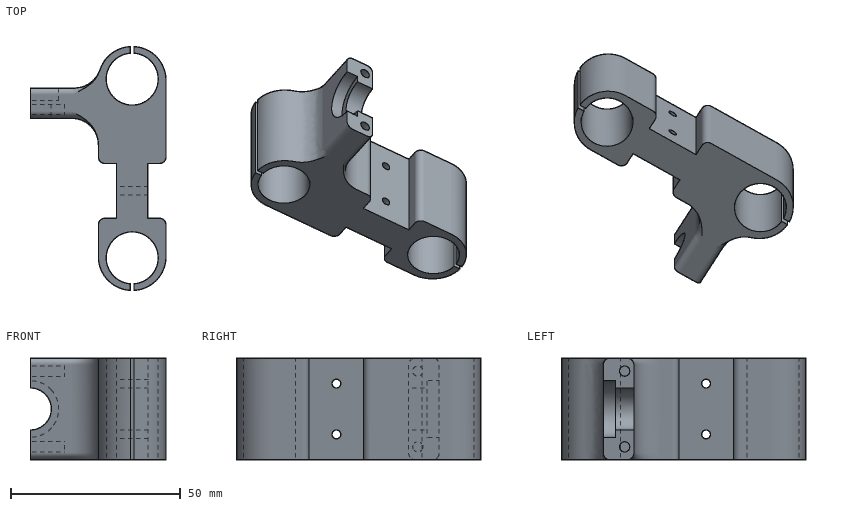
import cadquery as cq

length = 71.9
height = 30.0
lug_width = 20.0
arm_tip_x = -30.0

lug_radius = lug_width / 2
lug_y = length / 2 - lug_radius
bore_diameter = 15.25
bore_y = 26.3
slit_width = 1.0
corner_radius = 2.0

neck_width = 9.3
neck_top_y = 1.45
neck_bottom_y = -14.6
neck_y = (neck_top_y + neck_bottom_y) / 2
neck_hole_diameter = 2.5
neck_hole_spacing = 14.95

arm_thickness = 9.0
arm_y = 19.2
arm_edge_radius = 2.0
arm_root_radius = 7.7
seat_diameter = 12.3
seat_recess_diameter = 16.7
seat_recess_depth = 3.7
screw_hole_diameter = 3.0
screw_hole_depth = 10.0
screw_hole_spacing = 22.3
screw_hole_y = 17.4


def lug(inner_y, side, lug_height):
    """Block from inner_y to a half-round end; side is +1 toward +Y and -1 toward -Y."""
    return (
        cq.Workplane("XY", origin=(0, 0, -lug_height / 2))
        .moveTo(-lug_radius, inner_y)
        .lineTo(-lug_radius, side * lug_y)
        .threePointArc((0, side * length / 2), (lug_radius, side * lug_y))
        .lineTo(lug_radius, inner_y)
        .close()
        .extrude(lug_height)
        .edges("|Z")
        .edges("<Y" if side > 0 else ">Y")
        .fillet(corner_radius)
    )


def upper_lug_with_arm():
    """Lug and arm blended all round the arm root, then trimmed flush at top and bottom."""
    tall_lug = lug(neck_top_y, 1, 3 * height)
    arm = (
        cq.Workplane("XY")
        .box(-arm_tip_x, arm_thickness, height)
        .edges("|X")
        .fillet(arm_edge_radius)
        .translate((arm_tip_x / 2, arm_y, 0))
    )
    root_zone = cq.selectors.BoxSelector(
        (-lug_radius - 0.7, arm_y - arm_thickness, -height),
        (-0.7, arm_y + arm_thickness, height),
    )
    blended = tall_lug.union(arm).edges(root_zone).fillet(arm_root_radius)
    return blended.intersect(cq.Workplane("XY").box(2 * length, 2 * length, height))


def neck():
    return (
        cq.Workplane("XY")
        .box(neck_width, neck_top_y - neck_bottom_y, height)
        .translate((0, neck_y, 0))
    )


def clamp_cut(side):
    """Through bore with a slit opening it to the outer end of the lug."""
    bore = (
        cq.Workplane("XY", origin=(0, side * bore_y, -height / 2))
        .circle(bore_diameter / 2)
        .extrude(height)
    )
    slit = (
        cq.Workplane("XY")
        .box(slit_width, lug_radius, 2 * height)
        .translate((0, side * (bore_y + lug_radius / 2), 0))
    )
    return bore.union(slit)


def seat_cut():
    """Half-round seat across the arm tip, with a wider recess on the +Y face."""
    arm_top_y = arm_y + arm_thickness / 2
    seat = (
        cq.Workplane("XZ", origin=(arm_tip_x, arm_top_y, 0))
        .circle(seat_diameter / 2)
        .extrude(arm_thickness)
    )
    recess = (
        cq.Workplane("XZ", origin=(arm_tip_x, arm_top_y, 0))
        .circle(seat_recess_diameter / 2)
        .extrude(seat_recess_depth)
    )
    return seat.union(recess)


def hole_pair(start_x, y, spacing, diameter, depth):
    """Two holes along +X, spaced evenly about mid-height."""
    return (
        cq.Workplane("YZ", origin=(start_x, y, 0))
        .pushPoints([(0, -spacing / 2), (0, spacing / 2)])
        .circle(diameter / 2)
        .extrude(depth)
    )


result = upper_lug_with_arm().union(neck()).union(lug(neck_bottom_y, -1, height))
for clamp_side in (1, -1):
    result = result.cut(clamp_cut(clamp_side))
result = result.cut(seat_cut())
result = result.cut(hole_pair(arm_tip_x, screw_hole_y, screw_hole_spacing, screw_hole_diameter, screw_hole_depth))
result = result.cut(hole_pair(-neck_width / 2, neck_y, neck_hole_spacing, neck_hole_diameter, neck_width))